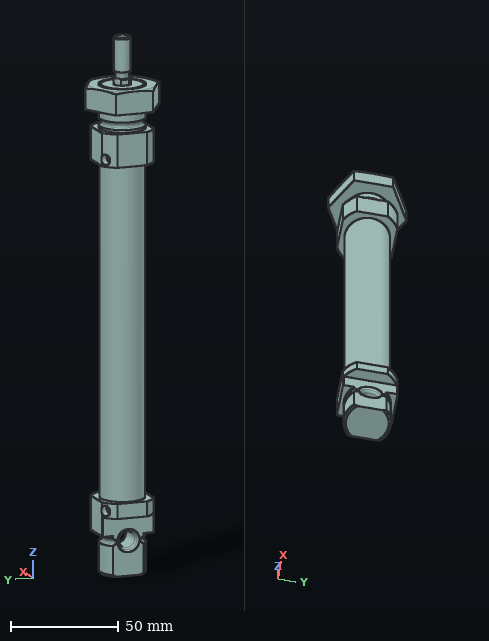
import cadquery as cq
import math


total_height = 257.0
rod_dia = 8.0
thread_dia = 22.0
groove_dia = 19.8
groove_width = 3.5
groove_fillet = 1.0
thread_land = 1.3

tube_dia = 21.3
cap_flats = 26.0
cap_corner_dia = 29.8
front_cap_bottom = 197.5
front_cap_top = 213.3
rear_cap_top = 36.2
tongue_top = 29.0
rear_cap_bottom = 19.8

collar_top = 234.0
thread_chamfer = 1.0
tongue_width = 16.0

pivot_dia = 8.0
pivot_height = 17.0
pivot_chamfer = 1.5
pivot_fillet = 2.0

port_dia = 5.0
port_depth = 5.1
port_angle = 127.0
front_port_height = 200.7
rear_port_height = 32.5

rod_bottom = front_cap_bottom
rod_chamfer = 0.8
relief_bottom = 237.5
relief_width = 3.0
relief_dia = 6.5
relief_fillet = 0.5
wrench_flats = 7.0
wrench_flats_top = 237.0

nut_flats = 32.0
nut_height = 10.8
nut_chamfer_dia = 31.9
nut_chamfer_angle = 15.0
hex_half_angle = 30.0


def cylinder(diameter, bottom, top):
    """Cylinder on the Z axis between two heights."""
    return cq.Workplane("XY").workplane(offset=bottom).circle(diameter / 2).extrude(top - bottom)


def cap_block(bottom, top):
    """Square cap block with its corners rounded to the corner diameter."""
    square = cq.Workplane("XY").workplane(offset=bottom).rect(cap_flats, cap_flats).extrude(top - bottom)
    return square.intersect(cylinder(cap_corner_dia, bottom, top))


def groove_cutter(bottom, width, outer_dia, inner_dia, fillet):
    """Ring that cuts a thread runout groove with 45 degree sides and rounded floor corners."""
    outer_radius = outer_dia / 2
    inner_radius = inner_dia / 2
    depth = outer_radius - inner_radius
    top = bottom + width
    ring = (
        cq.Workplane("XZ")
        .moveTo(outer_radius, bottom)
        .lineTo(inner_radius, bottom + depth)
        .lineTo(inner_radius, top - depth)
        .lineTo(outer_radius, top)
        .close()
        .revolve(360, (0, 0, 0), (0, 1, 0))
    )
    return ring.edges(cq.selectors.RadiusNthSelector(0)).fillet(fillet)


def make_collar():
    """Threaded front collar with a chamfered end and a groove next to the cap."""
    collar = cylinder(thread_dia, front_cap_top, collar_top).faces(">Z").chamfer(thread_chamfer)
    groove_bottom = front_cap_top + thread_land
    return collar.cut(groove_cutter(groove_bottom, groove_width, thread_dia, groove_dia, groove_fillet))


def make_tail():
    """Round rear tail with a chamfered end and a groove below the rear cap."""
    tail = cylinder(thread_dia, 0, rear_cap_bottom).faces("<Z").chamfer(thread_chamfer)
    groove_bottom = rear_cap_bottom - thread_land - groove_width
    return tail.cut(groove_cutter(groove_bottom, groove_width, thread_dia, groove_dia, groove_fillet))


def make_tongue():
    """Tail and lower rear cap, cut to the width of the tongue along X."""
    body = make_tail().union(cap_block(rear_cap_bottom, tongue_top))
    slab = cq.Workplane("XY").rect(tongue_width, cap_corner_dia).extrude(tongue_top)
    return body.intersect(slab)


def pivot_cutter():
    """Pivot hole along X, countersunk at both faces of the tongue with a rounded inner edge."""
    face = tongue_width / 2
    radius = pivot_dia / 2
    hole = (
        cq.Workplane("XY")
        .moveTo(-face, 0)
        .lineTo(-face, radius + pivot_chamfer)
        .lineTo(-face + pivot_chamfer, radius)
        .lineTo(face - pivot_chamfer, radius)
        .lineTo(face, radius + pivot_chamfer)
        .lineTo(face, 0)
        .close()
        .revolve(360, (0, 0, 0), (1, 0, 0))
    )
    rounded = hole.edges(cq.selectors.RadiusNthSelector(0)).fillet(pivot_fillet)
    return rounded.translate((0, 0, pivot_height))


def port_cutter(height):
    """Blind radial air port, entering a cap through a rounded corner.

    The cutter reaches as far outside the corner as inside it.
    """
    angle = math.radians(port_angle)
    outward = cq.Vector(math.cos(angle), math.sin(angle), 0)
    start = outward * (cap_corner_dia / 2 - port_depth) + cq.Vector(0, 0, height)
    return cq.Workplane(cq.Solid.makeCylinder(port_dia / 2, 2 * port_depth, start, outward))


def make_housing():
    """Tube with both caps, bored for the rod."""
    body = cylinder(tube_dia, rear_cap_top, front_cap_bottom)
    body = body.union(cap_block(front_cap_bottom, front_cap_top)).union(make_collar())
    body = body.union(cap_block(tongue_top, rear_cap_top)).union(make_tongue())
    body = body.cut(cylinder(rod_dia, rod_bottom, collar_top)).cut(pivot_cutter())
    for height in (front_port_height, rear_port_height):
        body = body.cut(port_cutter(height))
    return body


def make_rod():
    """Piston rod with wrench flats, a thread relief and a chamfered thread end."""
    rod = cylinder(rod_dia, rod_bottom, total_height).faces(">Z").chamfer(rod_chamfer)
    rod = rod.cut(groove_cutter(relief_bottom, relief_width, rod_dia, relief_dia, relief_fillet))

    flats_height = wrench_flats_top - collar_top
    sleeve = cylinder(2 * rod_dia, collar_top, wrench_flats_top)
    core = cq.Workplane("XY").workplane(offset=collar_top).rect(wrench_flats, 2 * rod_dia).extrude(flats_height)
    return rod.cut(sleeve.cut(core))


def make_nut():
    """Hexagon nut on the collar, its upper corners chamfered by a cone."""
    bottom = collar_top - nut_height
    across_corners = nut_flats / math.cos(math.radians(hex_half_angle))
    corner_radius = across_corners / 2
    chamfer_radius = nut_chamfer_dia / 2
    chamfer_height = (corner_radius - chamfer_radius) * math.tan(math.radians(nut_chamfer_angle))
    hexagon = (
        cq.Workplane("XY")
        .workplane(offset=bottom)
        .polygon(6, across_corners)
        .extrude(nut_height)
        .rotate((0, 0, 0), (0, 0, 1), hex_half_angle)
    )
    envelope = (
        cq.Workplane("XZ")
        .moveTo(0, bottom)
        .lineTo(corner_radius, bottom)
        .lineTo(corner_radius, collar_top - chamfer_height)
        .lineTo(chamfer_radius, collar_top)
        .lineTo(0, collar_top)
        .close()
        .revolve(360, (0, 0, 0), (0, 1, 0))
    )
    return hexagon.intersect(envelope).cut(cylinder(thread_dia, bottom, collar_top))


housing = make_housing()
rod = make_rod()
nut = make_nut()

result = cq.Compound.makeCompound([housing.val(), rod.val(), nut.val()])